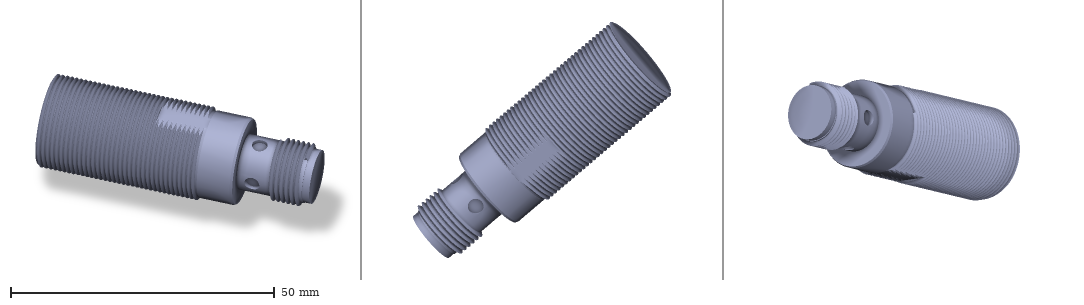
import cadquery as cq
import math

TOTAL_LENGTH = 53.3
BARREL_END = 32.0
COLLAR_END = 38.95
NECK_END = 51.85
BARREL_ROOT_RADIUS = 8.35
COLLAR_RADIUS = 17.0 / 2
NECK_RADIUS = 5.4
TIP_RADIUS = 5.2

BEVEL_LENGTH = 0.5
BEVEL_DEPTH = 0.2

BARREL_CREST_RADIUS = 9.05
BARREL_FIRST_CREST = 0.1
BARREL_LAST_CREST = 31.6
BARREL_TURNS = 35
BARREL_PITCH = (BARREL_LAST_CREST - BARREL_FIRST_CREST) / BARREL_TURNS
BARREL_RUN_ON = 0.04

PLUG_CREST_RADIUS = 6.2
PLUG_THREAD_START = 45.45
PLUG_THREAD_LENGTH = 6.1
PLUG_THREAD_TURNS = 6.1
PLUG_PITCH = PLUG_THREAD_LENGTH / PLUG_THREAD_TURNS
PLUG_START_ANGLE = 67.0

THREAD_BASE_RATIO = 0.95
THREAD_OVERLAP = 0.05

FLAT_START = 22.1
FLAT_HEIGHT = 8.25

HOLE_X = 42.0
HOLE_DIAMETER = 3.0
HOLE_DEPTH = 0.95
HOLE_COUNT = 4


def cylinder(x_start, x_end, radius):
    return cq.Workplane("YZ", origin=(x_start, 0, 0)).circle(radius).extrude(x_end - x_start)


def thread_ridge(root_radius, crest_radius, pitch, turns, x_start, start_angle):
    """Right-handed V ridge about X; start_angle is measured from +Y towards +Z."""
    half_base = THREAD_BASE_RATIO * pitch / 2
    sunk_radius = root_radius - THREAD_OVERLAP
    corners = [(sunk_radius, -half_base), (crest_radius, 0), (sunk_radius, half_base)]

    faces = []
    turn_count = math.ceil(turns)
    for turn in range(turn_count):
        height = pitch * min(1, turns - turn)
        helices = [
            cq.Wire.makeHelix(pitch, height, radius).translate(cq.Vector(0, 0, offset + turn * pitch))
            for radius, offset in corners
        ]
        for helix, next_helix in zip(helices, helices[1:] + helices[:1]):
            faces.extend(cq.Face.makeRuledSurface(helix, next_helix).Faces())
        if turn == 0:
            faces.append(triangle_face([helix.startPoint() for helix in helices]))
        if turn == turn_count - 1:
            faces.append(triangle_face([helix.endPoint() for helix in helices]))
    ridge = cq.Workplane(cq.Solid.makeSolid(cq.Shell.makeShell(faces)))

    laid_down = ridge.rotate((0, 0, 0), (0, 1, 0), 90)
    return laid_down.rotate((0, 0, 0), (1, 0, 0), start_angle + 90).translate((x_start, 0, 0))


def triangle_face(points):
    return cq.Face.makeFromWires(cq.Wire.makePolygon(points, close=True))


def threaded_barrel():
    ridge = thread_ridge(
        BARREL_ROOT_RADIUS,
        BARREL_CREST_RADIUS,
        BARREL_PITCH,
        BARREL_TURNS + 1 + BARREL_RUN_ON,
        BARREL_FIRST_CREST - BARREL_PITCH,
        0,
    )
    barrel = cylinder(0, BARREL_END, BARREL_ROOT_RADIUS).union(ridge)
    barrel = barrel.cut(cylinder(-2 * BARREL_PITCH, 0, 2 * BARREL_CREST_RADIUS))
    return barrel.cut(flat_cutter(1)).cut(flat_cutter(-1))


def flat_cutter(side):
    """Block above (side = 1) or below (side = -1) a flat, reaching past the end of the barrel."""
    length = BARREL_END + BARREL_PITCH - FLAT_START
    height = BARREL_CREST_RADIUS
    block = cq.Workplane("XY").box(length, 2 * BARREL_CREST_RADIUS, height)
    return block.translate((FLAT_START + length / 2, 0, side * (FLAT_HEIGHT + height / 2)))


def plug():
    ridge = thread_ridge(
        NECK_RADIUS,
        PLUG_CREST_RADIUS,
        PLUG_PITCH,
        PLUG_THREAD_TURNS,
        PLUG_THREAD_START,
        PLUG_START_ANGLE,
    )
    neck = cylinder(COLLAR_END, NECK_END, NECK_RADIUS).union(ridge)
    return neck.union(cylinder(NECK_END, TOTAL_LENGTH, TIP_RADIUS))


def neck_holes():
    floor = NECK_RADIUS - HOLE_DEPTH
    hole = (
        cq.Workplane("XY", origin=(HOLE_X, 0, floor))
        .circle(HOLE_DIAMETER / 2)
        .extrude(2 * HOLE_DEPTH)
    )
    holes = cq.Workplane("XY")
    for index in range(HOLE_COUNT):
        holes = holes.add(hole.rotate((0, 0, 0), (1, 0, 0), index * 360 / HOLE_COUNT))
    return holes.combine()


def bevelled_collar():
    collar = cylinder(BARREL_END, COLLAR_END, COLLAR_RADIUS)
    return collar.faces(">X").edges().chamfer(BEVEL_LENGTH, BEVEL_DEPTH)


result = threaded_barrel().union(bevelled_collar()).union(plug()).cut(neck_holes())